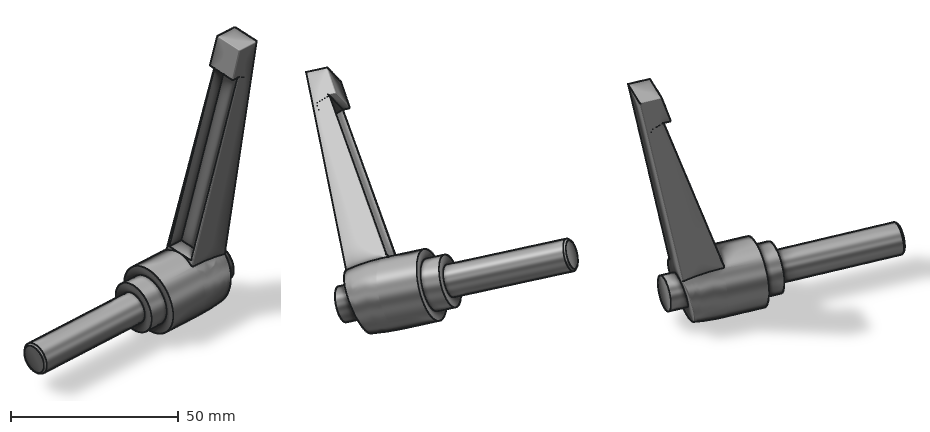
import cadquery as cq

HUB_DIAMETER = 22.0
HUB_RADIUS = HUB_DIAMETER / 2
HUB_CYLINDER_LENGTH = 13.1
HUB_END_Y = 26.9
HUB_END_RADIUS = 9.5
HUB_EDGE_FILLET = 0.4
COLLAR_RADIUS = 8.1
COLLAR_LENGTH = 6.0
STUD_RADIUS = 5.0
STUD_END_Y = -45.9
STUD_CHAMFER = 0.6
HEAD_RADIUS = 5.6
HEAD_END_Y = 29.2

OVERALL_LENGTH = 84.9
OVERALL_HEIGHT = 89.6
TOP_Z = OVERALL_HEIGHT - HUB_RADIUS
BACK_TOP_Y = STUD_END_Y + OVERALL_LENGTH
BACK_BASE = (25.6, 8.5)
GRIP_TOP_Y = 31.9
GRIP_TIP = (28.95, 68.9)
NOTCH_Y = 31.3
FRONT_BASE = (12.3, 9.8)
ROOT_Z = 3.6

ARM_TOP_HALF_WIDTH = 5.1
ARM_BASE_HALF_WIDTH = 5.9
ARM_FILLET = 0.4
SELECT_MARGIN = 0.2

POCKET_HALF_WIDTH = 4.8
POCKET_FLOOR_TOP = (35.5, 67.2)
POCKET_FLOOR_BASE = (17.5, HUB_RADIUS)
POCKET_MOUTH_Y = 7.2


def back_y(z):
    """Y of the sloping back plane shared by the arm and the hub."""
    base_y, base_z = BACK_BASE
    return base_y + (BACK_TOP_Y - base_y) * (z - base_z) / (TOP_Z - base_z)


def side_prism(points, half_width):
    """Prism of a Y-Z outline, centred on x = 0."""
    return cq.Workplane("YZ").polyline(points).close().extrude(half_width, both=True)


def cylinder(radius, start_y, end_y):
    return cq.Workplane("XZ", origin=(0, start_y, 0)).circle(radius).extrude(start_y - end_y)


def make_hub():
    barrel = (
        cq.Workplane("XY")
        .lineTo(HUB_RADIUS, 0)
        .lineTo(HUB_RADIUS, HUB_CYLINDER_LENGTH)
        .tangentArcPoint((HUB_END_RADIUS, HUB_END_Y), relative=False)
        .lineTo(0, HUB_END_Y)
        .close()
        .revolve(360, (0, 0, 0), (0, 1, 0))
    )
    low_z = -2 * HUB_RADIUS
    high_z = 2 * HUB_RADIUS
    keep = side_prism(
        [(0, low_z), (back_y(low_z), low_z), (back_y(high_z), high_z), (0, high_z)],
        2 * HUB_RADIUS,
    )
    return barrel.intersect(keep).faces(">Y").edges().fillet(HUB_EDGE_FILLET)


def make_arm():
    profile = side_prism(
        [
            (BACK_TOP_Y, TOP_Z),
            (GRIP_TOP_Y, TOP_Z),
            GRIP_TIP,
            (NOTCH_Y, GRIP_TIP[1]),
            FRONT_BASE,
            (FRONT_BASE[0], ROOT_Z),
            (back_y(ROOT_Z), ROOT_Z),
        ],
        2 * ARM_BASE_HALF_WIDTH,
    )
    taper = (
        cq.Workplane("XZ")
        .polyline(
            [
                (-ARM_BASE_HALF_WIDTH, ROOT_Z),
                (ARM_BASE_HALF_WIDTH, ROOT_Z),
                (ARM_TOP_HALF_WIDTH, TOP_Z),
                (-ARM_TOP_HALF_WIDTH, TOP_Z),
            ]
        )
        .close()
        .extrude(-2 * BACK_TOP_Y)
    )
    arm = profile.intersect(taper)
    grip_box = cq.selectors.BoxSelector(
        (-ARM_BASE_HALF_WIDTH, GRIP_TIP[0] - SELECT_MARGIN, GRIP_TIP[1] - SELECT_MARGIN),
        (ARM_BASE_HALF_WIDTH, GRIP_TOP_Y + SELECT_MARGIN, TOP_Z + SELECT_MARGIN),
    )
    cross_edges = (
        arm.edges(grip_box)
        .edges("|X")
        .filter(lambda edge: abs(edge.Center().y - NOTCH_Y) > SELECT_MARGIN)
    )
    return arm.faces("<X or >X").edges().add(cross_edges).fillet(ARM_FILLET)


def make_pocket():
    return side_prism(
        [
            (NOTCH_Y, GRIP_TIP[1]),
            POCKET_FLOOR_TOP,
            POCKET_FLOOR_BASE,
            (POCKET_MOUTH_Y, HUB_RADIUS),
            (POCKET_MOUTH_Y, GRIP_TIP[1]),
        ],
        POCKET_HALF_WIDTH,
    )


collar = cylinder(COLLAR_RADIUS, 0, -COLLAR_LENGTH)
stud = cylinder(STUD_RADIUS, 0, STUD_END_Y).faces("<Y").chamfer(STUD_CHAMFER)
screw_head = cylinder(HEAD_RADIUS, HEAD_END_Y, HUB_CYLINDER_LENGTH)
lever = make_arm().cut(make_pocket()).union(make_hub())
result = lever.union(collar).union(stud).union(screw_head)